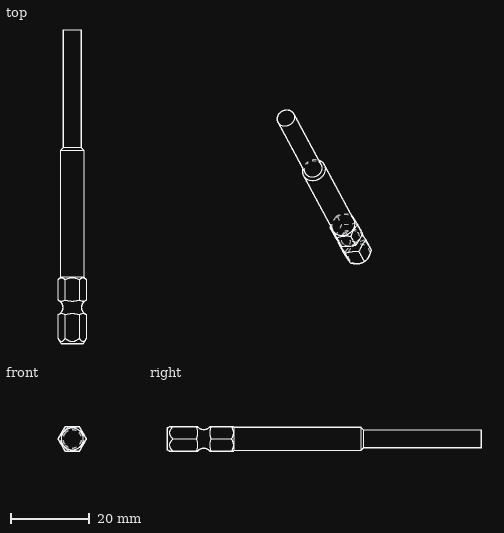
import cadquery as cq
import math

total_length = 80.0
tip_length = 30.0
tip_radius = 2.3
body_radius = 3.0
shoulder_length = 0.7

hex_sides = 6
hex_across_flats = 6.3
hex_length = 17.0
hex_corner_radius = hex_across_flats / 2 / math.cos(math.pi / hex_sides)

rear_face_radius = 2.8
rear_chamfer_angle = 30.0
rear_chamfer_depth = hex_corner_radius - rear_face_radius
rear_chamfer_length = rear_chamfer_depth / math.tan(math.radians(rear_chamfer_angle))
front_chamfer_length = hex_corner_radius - body_radius

groove_center = 9.3
groove_neck_radius = 2.4
groove_arc_radius = 2.0
groove_arc_center_radius = groove_neck_radius + groove_arc_radius
groove_half_width = math.sqrt(
    groove_arc_radius**2 - (groove_arc_center_radius - hex_corner_radius) ** 2
)


def revolve_around_y(profile):
    """Turn a closed (radius, Y) profile a full revolution around the Y axis."""
    return profile.close().revolve(360, (0, 0, 0), (0, 1, 0))


def make_hex_shank():
    """Hexagonal bar trimmed by a turned envelope with end chamfers and the groove."""
    hex_bar = (
        cq.Workplane("XZ")
        .polygon(hex_sides, 2 * hex_corner_radius)
        .extrude(-hex_length)
    )
    envelope = revolve_around_y(
        cq.Workplane("XY")
        .lineTo(rear_face_radius, 0)
        .lineTo(hex_corner_radius, rear_chamfer_length)
        .lineTo(hex_corner_radius, groove_center - groove_half_width)
        .threePointArc(
            (groove_neck_radius, groove_center),
            (hex_corner_radius, groove_center + groove_half_width),
        )
        .lineTo(hex_corner_radius, hex_length - front_chamfer_length)
        .lineTo(body_radius, hex_length)
        .lineTo(0, hex_length)
    )
    return hex_bar.intersect(envelope)


def make_round_body():
    """Round body that tapers at a conical shoulder into the slimmer tip."""
    shoulder_end = total_length - tip_length
    return revolve_around_y(
        cq.Workplane("XY")
        .moveTo(0, hex_length)
        .lineTo(body_radius, hex_length)
        .lineTo(body_radius, shoulder_end - shoulder_length)
        .lineTo(tip_radius, shoulder_end)
        .lineTo(tip_radius, total_length)
        .lineTo(0, total_length)
    )


result = make_hex_shank().union(make_round_body())